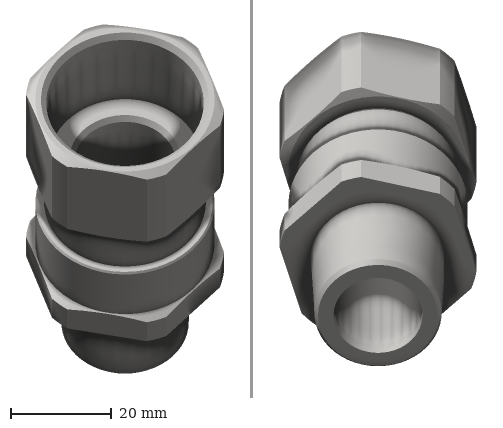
import cadquery as cq
import math

HEX_FLATS = 36.0
HEX_CORNER_RADIUS = 19.7
HEX_FACE_RADIUS = 17.8
HEX_CHAMFER_HEIGHT = 0.75

MALE_TIP_TOP = 1.05
LOWER_HEX_BOTTOM = 20.55
LOWER_HEX_TOP = 27.6
RING_TOP = 41.05
COLLAR_TOP = 50.7
NUT_BOTTOM = 52.8
NUT_TOP = 74.75
NECK_TOP = 54.95

MALE_TIP_RADIUS = 11.9
MALE_END_RADIUS = 12.6
MALE_ROOT_RADIUS = 13.4
RING_RADIUS = 17.8
RING_CHAMFER = 0.4
COLLAR_RADIUS = 16.1
NECK_RADIUS = 15.0

SOCKET_MOUTH_RADIUS = 16.7
SOCKET_TOP_RADIUS = 15.6
SOCKET_MOUTH_DEPTH = SOCKET_MOUTH_RADIUS - SOCKET_TOP_RADIUS
BORE_MOUTH_RADIUS = 11.1
BORE_TOP_RADIUS = 10.1
BORE_BOTTOM_RADIUS = 8.8
BORE_TOP = NECK_TOP - (BORE_MOUTH_RADIUS - BORE_TOP_RADIUS)


def cylinder(radius, bottom, top):
    return cq.Workplane("XY").workplane(offset=bottom).circle(radius).extrude(top - bottom)


def revolved(profile):
    """Turn a closed (radius, height) profile about the Z axis."""
    return cq.Workplane("XZ").polyline(profile).close().revolve(360, (0, 0), (0, 1))


def hexagon(bottom, top, chamfer_bottom):
    """Hexagon with corners on Y, turned round at its corners and chamfered by a cone at its faces."""
    blank = (
        cq.Workplane("XY")
        .workplane(offset=bottom)
        .polygon(6, HEX_FLATS / math.cos(math.pi / 6))
        .extrude(top - bottom)
        .rotate((0, 0, 0), (0, 0, 1), 30)
    )
    lower_edge = [(HEX_CORNER_RADIUS, bottom)]
    if chamfer_bottom:
        lower_edge = [(HEX_FACE_RADIUS, bottom), (HEX_CORNER_RADIUS, bottom + HEX_CHAMFER_HEIGHT)]
    upper_edge = [(HEX_CORNER_RADIUS, top - HEX_CHAMFER_HEIGHT), (HEX_FACE_RADIUS, top)]
    envelope = revolved([(0, bottom), *lower_edge, *upper_edge, (0, top)])
    return blank.intersect(envelope)


def make_male_body():
    """Tapered male end, hexagon, ring, collar and neck, with a tapered bore right through."""
    male_end = revolved([
        (0, 0),
        (MALE_TIP_RADIUS, 0),
        (MALE_END_RADIUS, MALE_TIP_TOP),
        (MALE_ROOT_RADIUS, LOWER_HEX_BOTTOM),
        (0, LOWER_HEX_BOTTOM),
    ])
    lower_hexagon = hexagon(LOWER_HEX_BOTTOM, LOWER_HEX_TOP, chamfer_bottom=False)
    ring = cylinder(RING_RADIUS, LOWER_HEX_TOP, RING_TOP).faces(">Z").edges().chamfer(RING_CHAMFER)
    collar = cylinder(COLLAR_RADIUS, RING_TOP, COLLAR_TOP)
    neck = cylinder(NECK_RADIUS, COLLAR_TOP, NECK_TOP)
    bore = revolved([
        (0, 0),
        (BORE_BOTTOM_RADIUS, 0),
        (BORE_TOP_RADIUS, BORE_TOP),
        (BORE_MOUTH_RADIUS, NECK_TOP),
        (0, NECK_TOP),
    ])
    return male_end.union(lower_hexagon).union(ring).union(collar).union(neck).cut(bore)


def make_nut():
    """Hexagon nut that fits around the top of the neck, with a tapered socket above it."""
    socket = revolved([
        (0, NUT_BOTTOM),
        (NECK_RADIUS, NUT_BOTTOM),
        (NECK_RADIUS, NECK_TOP),
        (SOCKET_TOP_RADIUS, NUT_TOP - SOCKET_MOUTH_DEPTH),
        (SOCKET_MOUTH_RADIUS, NUT_TOP),
        (0, NUT_TOP),
    ])
    return hexagon(NUT_BOTTOM, NUT_TOP, chamfer_bottom=True).cut(socket)


male_body = make_male_body()
nut = make_nut()
result = cq.Compound.makeCompound([male_body.val(), nut.val()])